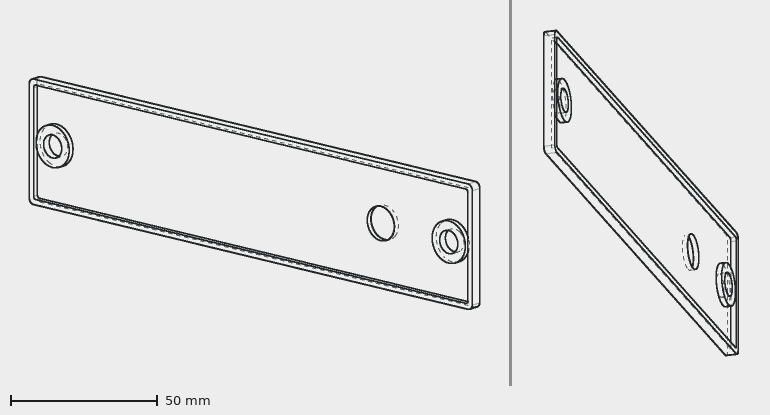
import cadquery as cq

length = 199.6
thickness = 4.0
height = 44.5
corner_radius = 2.0

rim_width = 2.0
recess_depth = 2.0
recess_corner_radius = 1.0

boss_diameter = 15.0
boss_height = recess_depth
boss_offset = 89.2
blind_hole_diameter = 8.2
blind_hole_depth = 3.0

through_hole_diameter = 12.2
through_hole_x = 56.9

front_y = -thickness / 2
recess_floor_y = front_y + recess_depth
boss_top_y = recess_floor_y - boss_height


def rounded_block(size_x, size_z, depth, radius, start_y):
    """Block with rounded XZ corners, running from start_y toward +Y."""
    return (
        cq.Workplane("XZ", origin=(0, start_y, 0))
        .rect(size_x, size_z)
        .extrude(-depth)
        .edges("|Y")
        .fillet(radius)
    )


def cylinder_along_y(diameter, depth, x, start_y):
    """Cylinder on the plate's centre line, running from start_y toward +Y."""
    return cq.Workplane("XZ", origin=(x, start_y, 0)).circle(diameter / 2).extrude(-depth)


plate = rounded_block(length, height, thickness, corner_radius, front_y)
recess = rounded_block(
    length - 2 * rim_width, height - 2 * rim_width, recess_depth, recess_corner_radius, front_y
)
result = plate.cut(recess)

for boss_x in (-boss_offset, boss_offset):
    result = result.union(cylinder_along_y(boss_diameter, boss_height, boss_x, boss_top_y))
    result = result.cut(cylinder_along_y(blind_hole_diameter, blind_hole_depth, boss_x, boss_top_y))

result = result.cut(cylinder_along_y(through_hole_diameter, thickness, through_hole_x, front_y))